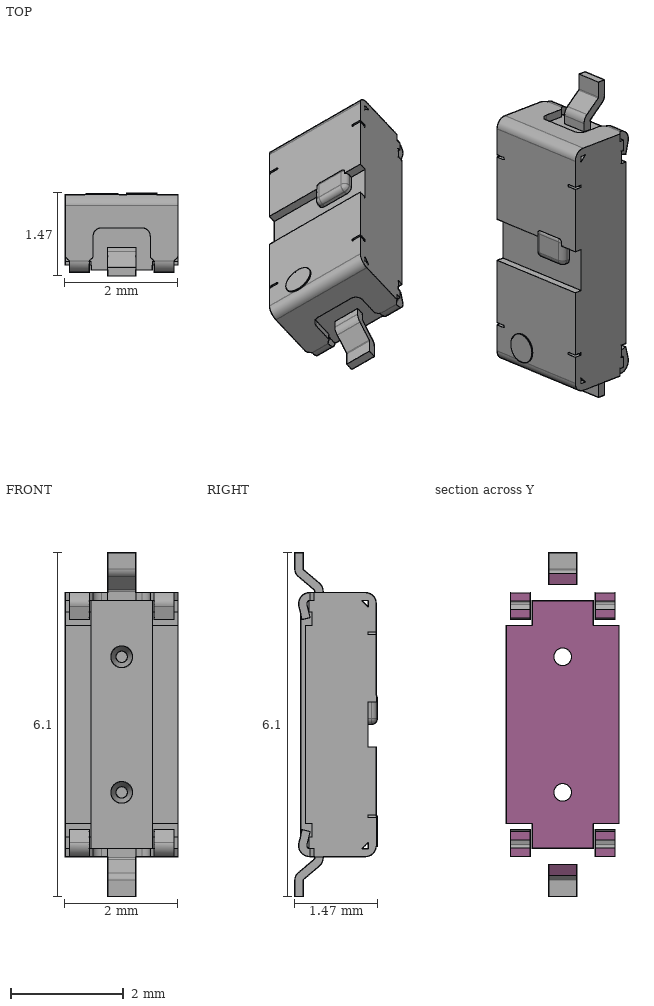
import cadquery as cq
import math

length = 6.1
body_width = 2.0
half_width = body_width / 2
half_height = 2.34
sheet = 0.145
back_y = 0.71
back_radius = 0.195
inner_back_y = back_y - sheet
block_end = half_height - sheet

bar_front_y = -0.635
bar_width = 1.085
strip_front_y = -0.54
recess_y = -0.435
recess_inner_z = 1.755
recess_outer_z = 1.995
ledge_y = -0.48

window_width = 1.01
window_back_y = 0.115
window_radius = 0.145

tab_inner_x = 0.575
tab_outer_x = 0.93
tab_bend_y = -0.47
tab_outer_radius = 0.2
tab_inner_radius = tab_outer_radius - sheet
tab_tilt = math.radians(14)
tab_straight = 0.24
shoulder = half_width - tab_outer_x

hole_z = 1.2
hole_mouth_diameter = 0.385
hole_floor_diameter = 0.2
hole_depth = 0.305

gap_leg = 0.105

notch_height = 0.79
slit_z = 1.62
slit_width = 0.04
slit_depth = 0.18
pad_top_y = 0.725
pad_center_x = -0.35
pad_width = 0.695
pad_height = 0.57
pad_rim_radius = 0.105
pad_corner_radius = 0.11
mark_back_y = 0.73
mark_radius = 0.27
mark_x = 0.355
mark_z = -1.89

lead_width = 0.5
lead_thickness = 0.15
lead_root_front_y = -0.385
lead_tip_front_y = -0.74
lead_lower_bend_z = 2.38
lead_upper_bend_z = 2.68
lead_lower_inner_radius = 0.05
lead_upper_inner_radius = 0.02
lead_lower_outer_radius = lead_lower_inner_radius + lead_thickness
lead_upper_outer_radius = lead_upper_inner_radius + lead_thickness


def box(x0, x1, y0, y1, z0, z1):
    """Box between opposite corners."""
    return cq.Workplane("XY").box(x1 - x0, y1 - y0, z1 - z0, centered=False).translate((x0, y0, z0))


def both_ends(upper):
    """A feature of the upper end together with its mirror image at the lower end."""
    return upper.union(upper.mirror("XY"))


def four_corners(corner):
    """A feature of the upper +X corner repeated at all four corners."""
    return both_ends(corner.union(corner.mirror("YZ")))


def make_core():
    """Full-width block and skin with rounded back edges and the raised centre bar."""
    core = box(-half_width, half_width, strip_front_y, back_y, -half_height, half_height)
    core = core.edges(">Y and |X").fillet(back_radius)
    bar = box(-bar_width / 2, bar_width / 2, bar_front_y, 0, -block_end, block_end)
    return core.union(bar)


def make_corner_steps():
    """Material removed under a tab: a ledge next to the end and a deeper recess inboard of it."""
    x0 = bar_width / 2
    ledge = box(x0, half_width, strip_front_y, ledge_y, recess_outer_z, half_height)
    recess = box(x0, half_width, strip_front_y, recess_y, recess_inner_z, recess_outer_z)
    return ledge.union(recess)


def make_end_window():
    """Round-cornered opening through an end sheet, flaring out and open to the front."""
    half = window_width / 2
    flare_y = tab_bend_y + tab_inner_x - half
    window = box(-half, half, strip_front_y, window_back_y, block_end, half_height)
    window = window.edges(">Y and |Z").fillet(window_radius)
    flare = (
        cq.Workplane("XY")
        .workplane(offset=block_end)
        .polyline([
            (-half, flare_y),
            (half, flare_y),
            (tab_inner_x, tab_bend_y),
            (tab_inner_x, strip_front_y),
            (-tab_inner_x, strip_front_y),
            (-tab_inner_x, tab_bend_y),
        ])
        .close()
        .extrude(sheet)
    )
    return window.union(flare)


def make_shoulder_cut():
    """Slanted outer shoulder that narrows an end sheet to its tab."""
    return (
        cq.Workplane("XY")
        .workplane(offset=block_end)
        .polyline([
            (half_width, tab_bend_y + shoulder),
            (tab_outer_x, tab_bend_y),
            (tab_outer_x, strip_front_y),
            (half_width, strip_front_y),
        ])
        .close()
        .extrude(sheet)
    )


def make_front_trim():
    """Sheet removed in front of the tab's bend line, where the bend itself takes over."""
    return box(tab_inner_x, tab_outer_x, strip_front_y, tab_bend_y, block_end, half_height)


def make_tab():
    """Tab bent over the front and tilted in towards the block."""
    center_z = half_height - tab_outer_radius

    def on_bend(radius, angle):
        return (tab_bend_y - radius * math.sin(angle), center_z + radius * math.cos(angle))

    def along_tab(point):
        return (
            point[0] + tab_straight * math.sin(tab_tilt),
            point[1] - tab_straight * math.cos(tab_tilt),
        )

    bend = math.pi / 2 + tab_tilt
    outer_end = on_bend(tab_outer_radius, bend)
    inner_end = on_bend(tab_inner_radius, bend)
    root_y = tab_bend_y + sheet
    return (
        cq.Workplane("YZ")
        .workplane(offset=tab_inner_x)
        .moveTo(root_y, half_height)
        .lineTo(tab_bend_y, half_height)
        .threePointArc(on_bend(tab_outer_radius, bend / 2), outer_end)
        .lineTo(*along_tab(outer_end))
        .lineTo(*along_tab(inner_end))
        .lineTo(*inner_end)
        .threePointArc(on_bend(tab_inner_radius, bend / 2), (tab_bend_y, block_end))
        .lineTo(root_y, block_end)
        .close()
        .extrude(tab_outer_x - tab_inner_x)
    )


def make_corner_gap():
    """Triangular gap through the whole width, inside the bend between back and end."""
    return (
        cq.Workplane("YZ")
        .polyline([
            (inner_back_y, block_end),
            (inner_back_y - gap_leg, block_end),
            (inner_back_y, block_end - gap_leg),
        ])
        .close()
        .extrude(half_width, both=True)
    )


def make_hole():
    """Tapered blind hole in the centre bar."""
    cone = cq.Solid.makeCone(
        hole_mouth_diameter / 2,
        hole_floor_diameter / 2,
        hole_depth,
        cq.Vector(0, bar_front_y, hole_z),
        cq.Vector(0, 1, 0),
    )
    return cq.Workplane(cone)


def make_slit():
    """Thin round-ended slit in the back skin, open to the side."""
    end_radius = slit_width / 2
    straight_end = half_width - slit_depth + end_radius
    slot = box(straight_end, half_width, inner_back_y, back_y, slit_z - end_radius, slit_z + end_radius)
    end = cq.Solid.makeCylinder(
        end_radius, sheet, cq.Vector(straight_end, inner_back_y, slit_z), cq.Vector(0, 1, 0)
    )
    return slot.union(cq.Workplane(end))


def make_notch():
    """Notch across the full width of the back skin."""
    half = notch_height / 2
    return box(-half_width, half_width, inner_back_y, back_y, -half, half)


def make_pad():
    """Pad with rounded corners and rim that stands in the notch and rises just above the back."""
    x0 = pad_center_x - pad_width / 2
    pad = box(x0, x0 + pad_width, inner_back_y, pad_top_y, 0, pad_height)
    pad = pad.edges("|Y").fillet(pad_corner_radius)
    return pad.faces(">Y").edges().fillet(pad_rim_radius)


def make_mark():
    """Flat round mark raised from the back."""
    disc = cq.Solid.makeCylinder(
        mark_radius, mark_back_y - inner_back_y, cq.Vector(mark_x, inner_back_y, mark_z), cq.Vector(0, 1, 0)
    )
    return cq.Workplane(disc)


def make_housing():
    housing = make_core()
    housing = housing.cut(four_corners(make_corner_steps()))
    housing = housing.cut(both_ends(make_end_window()))
    housing = housing.cut(four_corners(make_shoulder_cut().union(make_front_trim())))
    housing = housing.union(four_corners(make_tab()))
    housing = housing.cut(both_ends(make_corner_gap()))
    housing = housing.cut(both_ends(make_hole()))
    housing = housing.cut(four_corners(make_slit()))
    housing = housing.cut(make_notch())
    return housing.union(make_pad()).union(make_mark())


def make_lead(end):
    """Cranked lead that butts against a block end; `end` is +1 for the upper one, -1 for the lower."""
    run = lead_root_front_y - lead_tip_front_y
    rise = lead_upper_bend_z - lead_lower_bend_z
    miter = lead_thickness * math.tan(math.atan2(run, rise) / 2)
    root_back_y = lead_root_front_y + lead_thickness
    tip_back_y = lead_tip_front_y + lead_thickness
    tip_z = length / 2
    front_lower = (lead_root_front_y, lead_lower_bend_z)
    front_upper = (lead_tip_front_y, lead_upper_bend_z)
    back_lower = (root_back_y, lead_lower_bend_z + miter)
    back_upper = (tip_back_y, lead_upper_bend_z + miter)
    lead = (
        cq.Workplane("YZ")
        .polyline([
            (lead_root_front_y, block_end),
            front_lower,
            front_upper,
            (lead_tip_front_y, tip_z),
            (tip_back_y, tip_z),
            back_upper,
            back_lower,
            (root_back_y, block_end),
        ])
        .close()
        .extrude(lead_width / 2, both=True)
    )
    for (y, z), radius in (
        (front_lower, lead_lower_inner_radius),
        (back_lower, lead_lower_outer_radius),
        (back_upper, lead_upper_inner_radius),
        (front_upper, lead_upper_outer_radius),
    ):
        lead = lead.edges(cq.selectors.NearestToPointSelector((0, y, z))).fillet(radius)
    return lead if end > 0 else lead.mirror("XY")


housing = make_housing()
leads = [make_lead(end) for end in (1, -1)]
result = cq.Compound.makeCompound([housing.val(), *[lead.val() for lead in leads]])